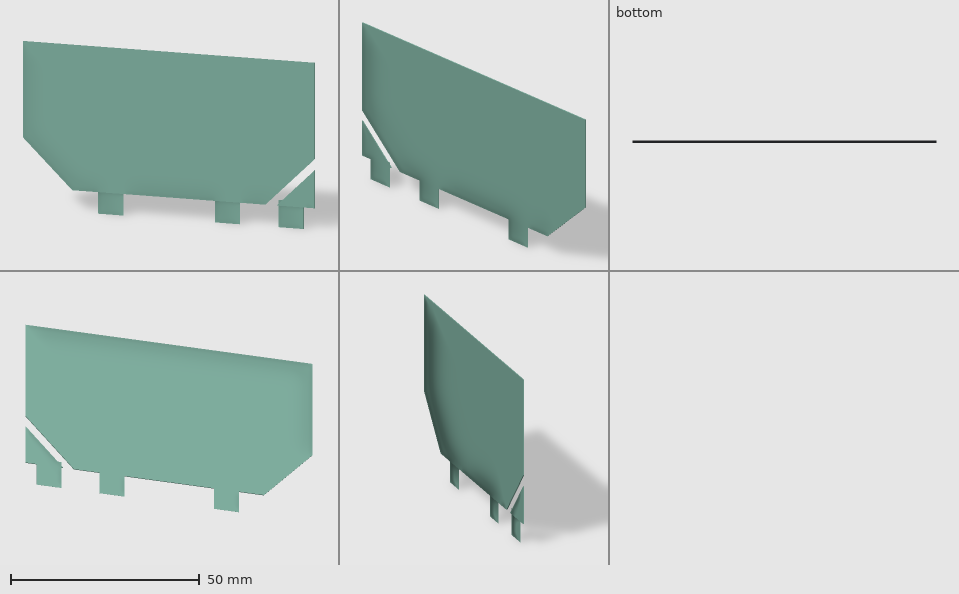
import cadquery as cq

length = 80.0
height = 40.0
sheet_thickness = 0.3
tab_thickness = 0.03

corner_cut = 13.5
corner_leg = 10.5

tab_width = 7.0
tab_drop = 6.0
tab_overlap = 1.5
panel_tab_spacing = 32.0
corner_tab_center = 73.4
panel_tab_centers = [length / 2 + side * panel_tab_spacing / 2 for side in (-1, 1)]


def make_sheet(outline):
    """Sheet with the given XZ outline, from the front face at Y = 0 toward +Y."""
    return cq.Workplane("XZ").polyline(outline).close().extrude(-sheet_thickness)


def make_tab(center_x):
    """Thin tab flush with the back face of a sheet, hanging below its lower edge."""
    return cq.Workplane("XY").box(
        tab_width, tab_thickness, tab_drop + tab_overlap, centered=(True, False, False)
    ).translate((center_x, sheet_thickness - tab_thickness, -tab_drop))


def make_panel():
    """Main panel with both lower corners cut off and two tabs."""
    panel = make_sheet([
        (corner_cut, 0),
        (length - corner_cut, 0),
        (length, corner_cut),
        (length, height),
        (0, height),
        (0, corner_cut),
    ])
    for center_x in panel_tab_centers:
        panel = panel.union(make_tab(center_x))
    return panel


def make_corner_piece():
    """Triangular piece in the lower +X corner, with one tab."""
    triangle = make_sheet([
        (length - corner_leg, 0),
        (length, 0),
        (length, corner_leg),
    ])
    return triangle.union(make_tab(corner_tab_center))


panel = make_panel()
corner_piece = make_corner_piece()

result = cq.Compound.makeCompound([panel.val(), corner_piece.val()])